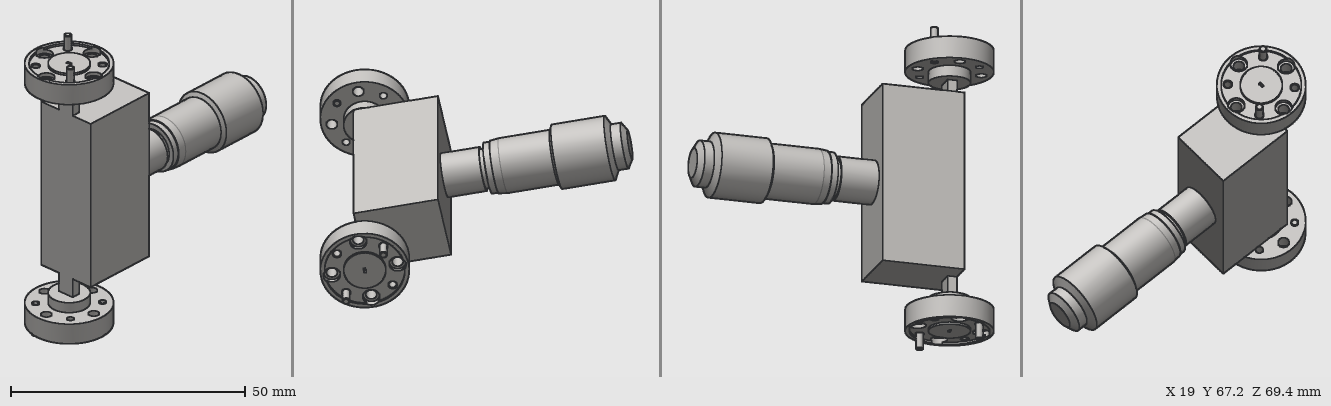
import cadquery as cq
import math


PIN_TIP_Z = 34.7
FLANGE_FACE_Z = 31.7
MICROMETER_END_Y = 57.7

BLOCK_WIDTH = 14.45
BLOCK_HEIGHT = 40.0
BLOCK_BACK_Y = 17.35
STUB_WIDTH = 4.0
STUB_DEPTH = 2.1
BLOCK_FRONT_Y = -STUB_DEPTH / 2

FLANGE_DIAMETER = 19.0
FLANGE_THICKNESS = 4.85
HUB_DIAMETER = 9.0
HUB_HEIGHT = 2.4
FACE_RECESS_DIAMETER = 17.15
FACE_RECESS_DEPTH = 0.5
HOLE_CIRCLE_RADIUS = 7.15
SCREW_HOLE_DIAMETER = 2.35
SCREW_RECESS_DIAMETER = 3.6
SCREW_RECESS_DEPTH = 1.4
DOWEL_HOLE_COUNTERSINK = 0.175
COUNTERSINK_ANGLE = 45
APERTURE_WIDTH = 1.1
APERTURE_HEIGHT = 0.5
FLANGE_BACK_Z = FLANGE_FACE_Z - FLANGE_THICKNESS
HUB_BACK_Z = FLANGE_BACK_Z - HUB_HEIGHT
FACE_FLOOR_Z = FLANGE_FACE_Z - FACE_RECESS_DEPTH

PIN_DIAMETER = 1.6
PIN_CHAMFER = 0.175
PIN_LENGTH = PIN_TIP_Z - FLANGE_BACK_Z

SCREW_ANGLES = (0, 90, 180, 270)
ALIGNMENT_ANGLES = (45, 225)
PIN_ANGLES = (135, 315)

SPINDLE_RADIUS = 4.8
NECK_RADIUS = 4.3
COLLAR_RADIUS = 5.55
TAPER_END_RADIUS = 5.75
BARREL_RADIUS = 6.0
THIMBLE_RADIUS = 7.0
KNOB_RADIUS = 5.0
KNOB_TIP_RADIUS = 3.2
NECK_Y = 25.75
COLLAR_Y = 26.8
TAPER_Y = 28.25
BARREL_Y = 30.1
THIMBLE_Y = 41.3
THIMBLE_CHAMFER_LENGTH = 0.55
THIMBLE_BEVEL_Y = 53.4
KNOB_Y = 54.4
KNOB_BEVEL_Y = 56.6


def circle_points(angles):
    """Points on the flange hole circle at the given angles."""
    return [
        (
            HOLE_CIRCLE_RADIUS * math.cos(math.radians(angle)),
            HOLE_CIRCLE_RADIUS * math.sin(math.radians(angle)),
        )
        for angle in angles
    ]


def cylinders(points, diameter, bottom_z, top_z):
    """Upright cylinders at the given points, between two heights."""
    return (
        cq.Workplane("XY", origin=(0, 0, bottom_z))
        .pushPoints(points)
        .circle(diameter / 2)
        .extrude(top_z - bottom_z)
    )


def turn_to_lower_end(shape):
    """Turn a feature of the upper end over, about X, to the lower end."""
    return shape.rotate((0, 0, 0), (1, 0, 0), 180)


def make_flange():
    """Upper flange with its hub, recessed face, holes and waveguide aperture."""
    center = [(0, 0)]
    flange = cylinders(center, FLANGE_DIAMETER, FLANGE_BACK_Z, FLANGE_FACE_Z)
    flange = flange.union(cylinders(center, HUB_DIAMETER, HUB_BACK_Z, FLANGE_BACK_Z))

    face_recess = (
        cq.Workplane("XY", origin=(0, 0, FACE_FLOOR_Z))
        .circle(FACE_RECESS_DIAMETER / 2)
        .circle(HUB_DIAMETER / 2)
        .extrude(FACE_RECESS_DEPTH)
    )
    flange = flange.cut(face_recess)

    screw_points = circle_points(SCREW_ANGLES)
    screw_floor_z = FLANGE_FACE_Z - SCREW_RECESS_DEPTH
    flange = flange.cut(cylinders(screw_points, SCREW_HOLE_DIAMETER, FLANGE_BACK_Z, FLANGE_FACE_Z))
    flange = flange.cut(cylinders(screw_points, SCREW_RECESS_DIAMETER, screw_floor_z, FLANGE_FACE_Z))

    dowel_points = circle_points(PIN_ANGLES + ALIGNMENT_ANGLES)
    flange = flange.cut(cylinders(dowel_points, PIN_DIAMETER, FLANGE_BACK_Z, FLANGE_FACE_Z))
    countersinks = (
        cq.Workplane("XY", origin=(0, 0, FACE_FLOOR_Z))
        .pushPoints(dowel_points)
        .circle(PIN_DIAMETER / 2 + DOWEL_HOLE_COUNTERSINK)
        .extrude(-DOWEL_HOLE_COUNTERSINK, taper=COUNTERSINK_ANGLE)
    )
    flange = flange.cut(countersinks)

    aperture = cq.Workplane("XY", origin=(0, 0, FLANGE_BACK_Z)).box(
        APERTURE_WIDTH, APERTURE_HEIGHT, FLANGE_THICKNESS, centered=(True, True, False)
    )
    return flange.cut(aperture)


def make_housing():
    """Block, waveguide stubs and both flanges as one solid."""
    block_depth = BLOCK_BACK_Y - BLOCK_FRONT_Y
    block = cq.Workplane("XY", origin=(0, BLOCK_FRONT_Y + block_depth / 2, 0)).box(
        BLOCK_WIDTH, block_depth, BLOCK_HEIGHT
    )
    stubs = cq.Workplane("XY").box(STUB_WIDTH, STUB_DEPTH, 2 * HUB_BACK_Z)
    flange = make_flange()
    return block.union(stubs).union(flange).union(turn_to_lower_end(flange))


def make_micrometer():
    """Micrometer drive, turned about the Y axis and seated on the block."""
    return (
        cq.Workplane("XY")
        .moveTo(0, BLOCK_BACK_Y)
        .lineTo(SPINDLE_RADIUS, BLOCK_BACK_Y)
        .lineTo(SPINDLE_RADIUS, NECK_Y)
        .lineTo(NECK_RADIUS, NECK_Y)
        .lineTo(NECK_RADIUS, COLLAR_Y)
        .lineTo(COLLAR_RADIUS, COLLAR_Y)
        .lineTo(COLLAR_RADIUS, TAPER_Y)
        .lineTo(TAPER_END_RADIUS, TAPER_Y)
        .lineTo(BARREL_RADIUS, BARREL_Y)
        .lineTo(BARREL_RADIUS, THIMBLE_Y)
        .lineTo(THIMBLE_RADIUS, THIMBLE_Y + THIMBLE_CHAMFER_LENGTH)
        .lineTo(THIMBLE_RADIUS, THIMBLE_BEVEL_Y)
        .lineTo(KNOB_RADIUS, KNOB_Y)
        .lineTo(KNOB_RADIUS, KNOB_BEVEL_Y)
        .lineTo(KNOB_TIP_RADIUS, MICROMETER_END_Y)
        .lineTo(0, MICROMETER_END_Y)
        .close()
        .revolve(360, (0, 0, 0), (0, 1, 0))
    )


def make_pin(point):
    """Dowel pin of the upper flange, chamfered at both ends."""
    return (
        cq.Workplane("XY", origin=(*point, FLANGE_BACK_Z))
        .circle(PIN_DIAMETER / 2)
        .extrude(PIN_LENGTH)
        .faces("<Z or >Z")
        .chamfer(PIN_CHAMFER)
    )


housing = make_housing()
micrometer = make_micrometer()

pins = []
for pin_point in circle_points(PIN_ANGLES):
    upper_pin = make_pin(pin_point)
    pins.append(upper_pin.val())
    pins.append(turn_to_lower_end(upper_pin).val())

result = cq.Compound.makeCompound([housing.val(), micrometer.val(), *pins])